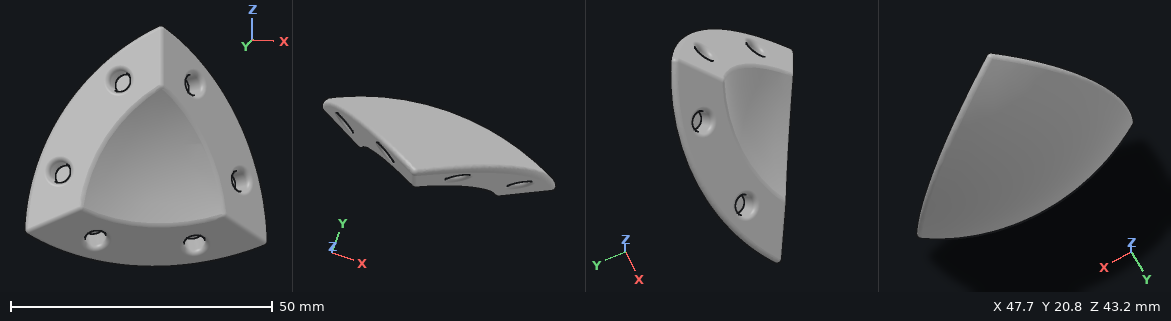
import cadquery as cq
import math

outer_edge_end = 30.5
outer_edge_middle = 25.4
inner_edge_end = 17.25
inner_edge_middle = 13.45
edge_radius = 1.0

pin_diameter = 4.0
pin_depth = 4.0
pin_distance = 17.95
side_pin_spacing = 20.9
bottom_pin_spacing = 19.4

block_size = 143.05

corner_height = -1 / 3
corner_reach = math.sqrt(1 - corner_height**2)
top_corner = cq.Vector(0, 0, 1)
right_corner, left_corner = [
    cq.Vector(
        corner_reach * math.cos(math.radians(angle)),
        corner_reach * math.sin(math.radians(angle)),
        corner_height,
    )
    for angle in (30, 150)
]
dome_axis = (top_corner + right_corner + left_corner).normalized()


def mating_plane(first_corner, second_corner):
    """Face plane with outward normal and local X toward the middle of its arcs."""
    outward = second_corner.cross(first_corner)
    return cq.Plane(cq.Vector(), first_corner + second_corner, outward)


def dome_ball(end_distance, middle_distance):
    """Ball on the dome axis whose face arcs pass at the given distances."""
    end_cosine = top_corner.dot(dome_axis)
    middle_cosine = (top_corner + right_corner).normalized().dot(dome_axis)
    centre_shift = (end_distance**2 - middle_distance**2) / (
        2 * (middle_distance * middle_cosine - end_distance * end_cosine)
    )
    radius = math.sqrt(
        end_distance**2 + centre_shift**2 + 2 * centre_shift * end_distance * end_cosine
    )
    return cq.Workplane(origin=(dome_axis * -centre_shift).toTuple()).sphere(radius)


faces = [
    (mating_plane(top_corner, right_corner), side_pin_spacing),
    (mating_plane(right_corner, left_corner), bottom_pin_spacing),
    (mating_plane(left_corner, top_corner), side_pin_spacing),
]

result = dome_ball(outer_edge_end, outer_edge_middle)
for plane, _ in faces:
    waste = cq.Workplane(plane).box(
        block_size, block_size, block_size, centered=(True, True, False)
    )
    result = result.cut(waste)
result = result.cut(dome_ball(inner_edge_end, inner_edge_middle))
result = result.edges().fillet(edge_radius)


def pin_hole(plane, offset):
    """Blind pin hole with a rounded mouth, as a revolved cutter."""
    radius = pin_diameter / 2
    centre = plane.toWorldCoords((pin_distance, offset, 0))
    profile = cq.Workplane(cq.Plane(centre, plane.xDir, plane.yDir * -1))
    return (
        profile.moveTo(0, 0)
        .lineTo(radius + edge_radius, 0)
        .radiusArc((radius, -edge_radius), -edge_radius)
        .lineTo(radius, -pin_depth)
        .lineTo(0, -pin_depth)
        .close()
        .revolve(360, (0, 0, 0), (0, 1, 0))
    )


for plane, spacing in faces:
    for offset in (-spacing / 2, spacing / 2):
        result = result.cut(pin_hole(plane, offset))